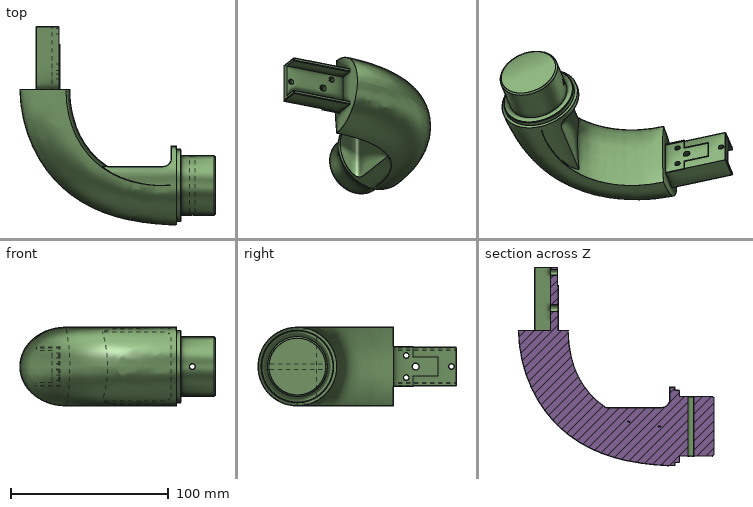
import cadquery as cq
import math


flange_radius = 25.0
flange_thickness = 3.2
collar_radius = 23.0
collar_length = 3.0
collar_chamfer = 0.4
spigot_radius = 19.0
spigot_end_x = 25.0
spigot_chamfer = 1.0
pin_hole_diameter = 3.5
pin_hole_x = 10.2

arm_root_x = -4.0
arm_end_y = 61.0
arm_half_height = flange_radius
inner_bow = 2.5
arm_inner_radii = [66.0, 66.5, 66.0, 63.4, arm_end_y]
arm_outer_radii = [95.3, 94.4, 92.0, 87.7, arm_end_y + flange_radius]

saddle_rise = 12.0
saddle_far_x = -55.0
saddle_fillet = 5.3
trim_inset = 0.2

channel_end_y = 101.0
channel_back_x = -74.4
channel_depth = 14.6
channel_half_height = 12.3
channel_flange_thickness = 2.1
channel_web_thickness = 4.6
channel_chamfer = 0.4

plate_thickness = 0.5
plate_half_height = 12.8
plate_shoulder_y = 73.5
tongue_half_height = 6.0
tongue_end_y = 89.4

web_holes = [
    (97.8, 0.0, 3.4),
    (75.1, 0.0, 4.2),
    (69.1, 7.0, 3.4),
    (69.1, -7.0, 3.4),
]

embed = 1.0


def x_cylinder(radius, start_x, end_x):
    """Cylinder about the X axis."""
    return cq.Workplane("YZ").workplane(offset=start_x).circle(radius).extrude(end_x - start_x)


def flange_and_spigot():
    flange = x_cylinder(flange_radius, -flange_thickness, 0)
    collar = x_cylinder(collar_radius, -embed, collar_length).faces(">X").chamfer(collar_chamfer)
    spigot = x_cylinder(spigot_radius, -embed, spigot_end_x).faces(">X").chamfer(spigot_chamfer)
    pin_hole = (
        cq.Workplane("XZ")
        .center(pin_hole_x, 0)
        .circle(pin_hole_diameter / 2)
        .extrude(spigot_radius + embed, both=True)
    )
    return flange.union(collar).union(spigot.cut(pin_hole))


def arm_point(angle, radius):
    """Point on the Z = 0 plane at a polar position about the arm pivot."""
    turn = math.radians(angle)
    return cq.Vector(arm_root_x + radius * math.cos(turn), arm_end_y + radius * math.sin(turn), 0)


def arm_section(angle, inner_radius, outer_radius):
    """D-shaped wire: half-ellipse on the outside of the bend, shallow arc on the inside."""
    corner_center = arm_point(angle, inner_radius)
    outward = (arm_point(angle, outer_radius) - corner_center).normalized()
    up = cq.Vector(0, 0, 1)
    top = corner_center + up * arm_half_height
    bottom = corner_center - up * arm_half_height
    section_plane = cq.Plane(corner_center, outward, outward.cross(up))
    depth = outer_radius - inner_radius
    profile = (
        cq.Workplane(section_plane)
        .moveTo(0, -arm_half_height)
        .ellipseArc(depth, arm_half_height, -90, 0, startAtCurrent=True)
        .ellipseArc(depth, arm_half_height, 0, 90, startAtCurrent=True)
    )
    outer_edges = profile.ctx.pendingEdges
    inner_edge = cq.Edge.makeThreePointArc(top, arm_point(angle, inner_radius - inner_bow), bottom)
    return cq.Wire.assembleEdges(outer_edges + [inner_edge])


def arm_stations():
    """Angle, inner radius and outer radius of each arm section, from free end to root."""
    step = 90 / (len(arm_inner_radii) - 1)
    return [
        (180 + step * i, inner, outer)
        for i, (inner, outer) in enumerate(zip(arm_inner_radii, arm_outer_radii))
    ]


def curved_arm():
    sections = [arm_section(*station) for station in arm_stations()]
    return cq.Workplane(obj=cq.Solid.makeLoft(sections))


def saddle():
    bar = x_cylinder(flange_radius, saddle_far_x, -flange_thickness)
    fillet_top_y = saddle_rise + saddle_fillet
    fillet_start_x = -flange_thickness - saddle_fillet
    fillet_middle = (
        fillet_start_x + saddle_fillet * math.sin(math.pi / 4),
        fillet_top_y - saddle_fillet * math.cos(math.pi / 4),
    )
    clearance = (
        cq.Workplane("XY")
        .moveTo(saddle_far_x, saddle_rise)
        .lineTo(fillet_start_x, saddle_rise)
        .threePointArc(fillet_middle, (-flange_thickness, fillet_top_y))
        .lineTo(-flange_thickness, flange_radius)
        .lineTo(saddle_far_x, flange_radius)
        .close()
        .extrude(flange_radius, both=True)
    )
    trim_points = [arm_point(angle, inner - trim_inset) for angle, inner, _ in arm_stations()]
    inner_side = (
        cq.Workplane("XY")
        .spline([(p.x, p.y) for p in trim_points])
        .lineTo(arm_root_x, -flange_radius)
        .lineTo(0, -flange_radius)
        .lineTo(0, arm_end_y)
        .close()
        .extrude(arm_half_height + embed, both=True)
    )
    return bar.cut(clearance).intersect(inner_side)


def channel():
    root_y = arm_end_y - embed
    length = channel_end_y - root_y
    tip_x = channel_back_x - channel_depth
    bar = cq.Workplane("XY").box(
        channel_depth, length, 2 * channel_half_height, centered=(False, False, True)
    ).translate((tip_x, root_y, 0))
    bar = bar.faces(">Y").chamfer(channel_chamfer)
    groove_depth = channel_depth - channel_web_thickness
    groove_half_height = channel_half_height - channel_flange_thickness
    groove = cq.Workplane("XY").box(
        groove_depth, length, 2 * groove_half_height, centered=(False, False, True)
    ).translate((tip_x, root_y, 0))
    return bar.cut(groove).faces("<X").edges("|Y").chamfer(channel_chamfer)


def back_plate():
    root_y = arm_end_y - embed
    return (
        cq.Workplane("YZ")
        .workplane(offset=channel_back_x)
        .polyline([
            (root_y, -plate_half_height),
            (plate_shoulder_y, -plate_half_height),
            (plate_shoulder_y, -tongue_half_height),
            (tongue_end_y, -tongue_half_height),
            (tongue_end_y, tongue_half_height),
            (plate_shoulder_y, tongue_half_height),
            (plate_shoulder_y, plate_half_height),
            (root_y, plate_half_height),
        ])
        .close()
        .extrude(plate_thickness)
    )


def web_hole_tools():
    start_x = channel_back_x - channel_depth
    tools = cq.Workplane("YZ").workplane(offset=start_x)
    for hole_y, hole_z, diameter in web_holes:
        tools = tools.moveTo(hole_y, hole_z).circle(diameter / 2)
    return tools.extrude(channel_depth + plate_thickness + embed)


mounting_bar = channel().union(back_plate()).cut(web_hole_tools())
result = curved_arm().union(saddle()).union(flange_and_spigot()).union(mounting_bar)